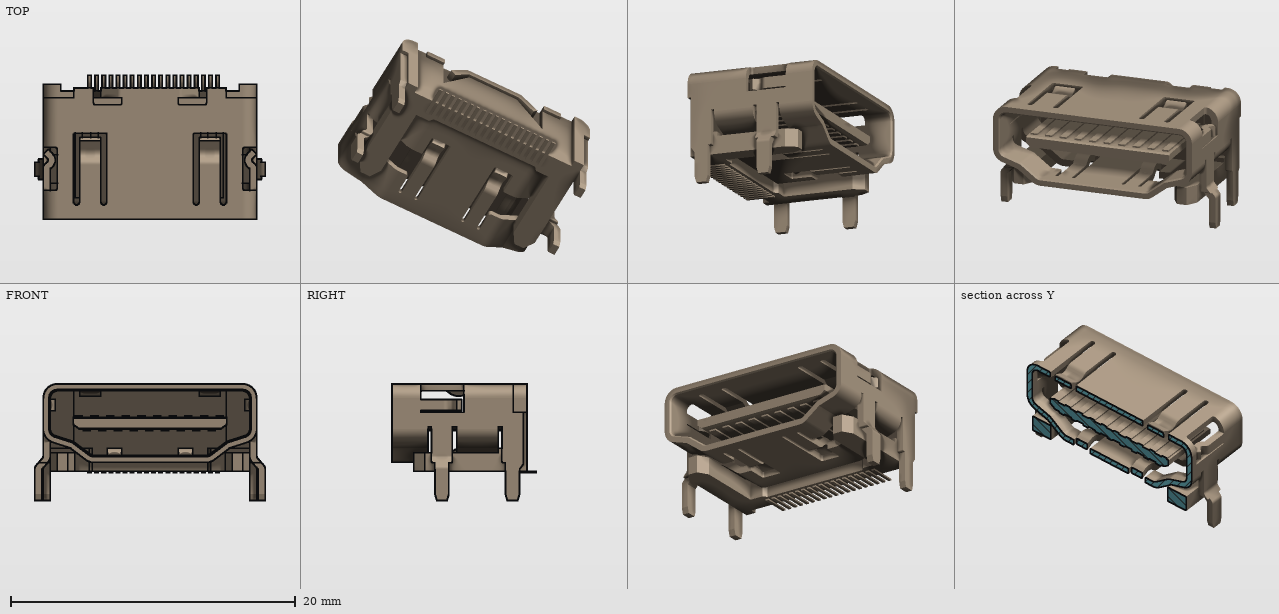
import cadquery as cq
import math


WALL = 0.5
HALF_WIDTH = 7.5
INNER_HALF = HALF_WIDTH - WALL
TOP_Z = 6.15
FLOOR_Z = 0.62
SHELL_LENGTH = 9.23
TUBE_LENGTH = 7.48
CORNER_R = 1.0
SHOULDER_Z = 2.25
KNEE_X, KNEE_Z, KNEE_R = 5.63, 1.65, 0.1
FLOOR_CORNER_X, FLOOR_CORNER_R = 4.26, 0.95
MOUTH_CHAMFER = 0.1

CUT_TOP_Z = 3.13
LEG_CUT_FRONT, LEG_CUT_REAR = 2.54, 4.55
LEG_CUT_X = 3.0
LEG_BOTTOM_Z = -2.06
LEG_TIP_HEIGHT = 0.46
LEG_TIP_INSET = 0.13
LEG_SHOULDER_Z = 0.6
LEG_SHOULDER_R = 0.1
FRONT_LEG_WIDE = (2.78, 4.25)
FRONT_LEG_NARROW = (3.02, 4.01)
REAR_LEG_WIDE = (7.73, 9.23)
REAR_LEG_NARROW = (7.97, 8.97)
REAR_LEG_SLANT_Z = (0.5, 0.15)
JOG_OUT_X = 8.1
JOG_TOP_Z, JOG_BOTTOM_Z = 1.0, 0.3
JOG_RADII = [0.35, 0.8]
CUT_CORNER_R = 0.2

SLOT_FRONT, SLOT_REAR = 1.02, 6.05
FINGER_ROOT = 3.0
WINDOW_CORNER_R = 0.12
TOP_FINGER_X, TOP_FINGER_WIDTH, TOP_SLOT = 4.2, 1.5, 0.41
TOP_BEND_Y, TOP_VALLEY_Y, TOP_TIP_Y, TOP_DEPTH = 4.02, 4.63, 5.53, 0.47
BEND_RADIUS, VALLEY_RADIUS = 0.55, 1.0
TIP_R = 0.1
FLOOR_FINGER_X, FLOOR_FINGER_WIDTH, FLOOR_SLOT = 2.5, 1.0, 0.25
FLOOR_BEND_Y, FLOOR_VALLEY_Y, FLOOR_TIP_Y = 4.12, 4.8, 5.6
FLOOR_DEPTH, FLOOR_TIP_RISE = 0.61, 0.2
SIDE_WINDOW_FRONT, SIDE_WINDOW_REAR = 2.03, 5.06
SIDE_WINDOW_Z, SIDE_WINDOW_X, SIDE_WINDOW_R = 4.16, 6.5, 0.2
SIDE_FINGER_BOTTOM, SIDE_FINGER_TOP = 4.26, 5.05
SIDE_BEND_Y, SIDE_VALLEY_Y, SIDE_TIP_Y, SIDE_DEPTH = 3.78, 4.14, 4.57, 0.43
SIDE_RADII = [0.35, 0.68]

LUG_X, LUG_FRONT, LUG_BOTTOM_Z = 5.34, 8.53, 4.16
NOTCH_INNER, NOTCH_OUTER, NOTCH_FRONT, NOTCH_R = 1.98, 3.97, 8.03, 0.15
TAB_FRONT, TAB_BEND_X, TAB_TIP_X, TAB_ANGLE = 8.55, 2.16, 3.45, 40
TAB_BEND_R = 0.34

BACK_Y = 9.02
POST_X, POST_BACK = 6.27, 9.5
WALL_FRONT, WALL_SIDE_FRONT, WALL_STEP_X = 7.75, 8.0, 5.35
LEDGE_Z = 1.63
RECESS_X, RECESS_FLARE = 4.05, 0.22
FLANGE_Z = 1.31
FLANGE_INNER, FLANGE_FRONT = 5.3, 1.52
FLANGE_CUT_X, FLANGE_CUT_Y = 0.48, 0.77
POCKET_INNER, POCKET_ANGLE = 1.9, 50
TONGUE_HALF, TONGUE_BOTTOM, TONGUE_TOP = 5.4, 2.97, 3.79
TONGUE_FRONT = 1.0
TONGUE_CHAMFER_X, TONGUE_CHAMFER_Z = 0.43, 0.33
LEAD_IN_Y, LEAD_IN_Z = 0.25, 0.06

CONTACT_PITCH, CONTACT_WIDTH, CONTACT_RISE, CONTACT_FRONT = 1.1, 0.5, 0.12, 1.5
TOP_CONTACTS, FIRST_TOP_X = 10, -5.0
PIN_COUNT, PIN_PITCH, PIN_WIDTH, PIN_THICK = 19, 0.5, 0.25, 0.115
FIRST_PIN_X, PIN_FRONT, PIN_BACK = -4.25, 8.0, 10.13


def block(x0, x1, y0, y1, z0, z1):
    """Box between two opposite corners."""
    return cq.Workplane("XY").box(x1 - x0, y1 - y0, z1 - z0, centered=False).translate((x0, y0, z0))


def both_sides(shape):
    """A shape joined with its mirror image across the middle plane."""
    return shape.union(shape.mirror("YZ"))


def bent_strip(plane, points, outside_radii, start, end, tip=None):
    """Sheet strip: one face follows the points, the metal lies on their left; every bend is rounded.

    The strip is extruded along the plane's normal from start to end. With tip given as the index
    of a free end in the points, the two corners of that end are rounded as well.
    """
    angles = [math.atan2(b[1] - a[1], b[0] - a[0]) for a, b in zip(points, points[1:])]
    before = [angles[0]] + angles
    after = angles + [angles[-1]]
    far_side = []
    for (u, v), a, b in zip(points, before, after):
        middle = (a + b) / 2
        miter = WALL / math.cos((b - a) / 2)
        far_side.append((u - miter * math.sin(middle), v + miter * math.cos(middle)))

    base = cq.Workplane(plane).workplane(offset=start)
    strip = base.polyline(points + far_side[::-1]).close().extrude(end - start)

    def round_edge(body, u, v, height, radius):
        spot = base.plane.toWorldCoords((u, v, height))
        return body.edges(cq.selectors.NearestToPointSelector(spot.toTuple())).fillet(radius)

    if tip is not None:
        u = (points[tip][0] + far_side[tip][0]) / 2
        v = (points[tip][1] + far_side[tip][1]) / 2
        for height in (0, end - start):
            strip = round_edge(strip, u, v, height, TIP_R)

    for i, outside_radius in enumerate(outside_radii, start=1):
        turns_left = math.sin(after[i] - before[i]) > 0
        outside, inside = (points[i], far_side[i]) if turns_left else (far_side[i], points[i])
        strip = round_edge(strip, *outside, (end - start) / 2, outside_radius)
        if outside_radius > WALL:
            strip = round_edge(strip, *inside, (end - start) / 2, outside_radius - WALL)
    return strip


def outer_envelope():
    """Solid bounded by the outside of the shell tube, long enough for the rear posts."""
    right = [
        (HALF_WIDTH, TOP_Z),
        (HALF_WIDTH, SHOULDER_Z),
        (KNEE_X, KNEE_Z),
        (FLOOR_CORNER_X, FLOOR_Z),
    ]
    left = [(-x, z) for x, z in reversed(right)]
    solid = cq.Workplane("XZ").polyline(right + left).close().extrude(-POST_BACK)
    radii = [CORNER_R, CORNER_R, KNEE_R, FLOOR_CORNER_R]
    for (x, z), radius in zip(right, radii):
        for side in (-1, 1):
            corner = cq.selectors.NearestToPointSelector((side * x, POST_BACK / 2, z))
            solid = solid.edges(corner).fillet(radius)
    return solid


def inner_envelope(outer):
    """Solid that fills the inside of the shell tube."""
    rim = outer.faces("<Y").wires().val()
    return cq.Workplane("XZ").add(rim).toPending().offset2D(-WALL).extrude(-POST_BACK)


def leg_outline(wide, points_below):
    """Plate seen from the side: wide upper part, then the given outline from front to rear."""
    outline = [(wide[0], CUT_TOP_Z)] + points_below + [(wide[1], CUT_TOP_Z)]
    return cq.Workplane("YZ").polyline(outline).close().extrude(2 * HALF_WIDTH)


def leg_tip(narrow):
    """Tapered end of a leg, listed from its front edge to its rear edge."""
    taper_z = LEG_BOTTOM_Z + LEG_TIP_HEIGHT
    return [
        (narrow[0], taper_z),
        (narrow[0] + LEG_TIP_INSET, LEG_BOTTOM_Z),
        (narrow[1] - LEG_TIP_INSET, LEG_BOTTOM_Z),
        (narrow[1], taper_z),
    ]


def round_shoulder(plate, y):
    """Round the lower corner of the wide part of a leg at the given Y."""
    corner = cq.selectors.NearestToPointSelector((HALF_WIDTH, y, LEG_SHOULDER_Z))
    return plate.edges(corner).fillet(LEG_SHOULDER_R)


def front_leg():
    """Leg that jogs outward below the side wall."""
    below = [(FRONT_LEG_WIDE[0], LEG_SHOULDER_Z), (FRONT_LEG_NARROW[0], LEG_SHOULDER_Z)]
    below += leg_tip(FRONT_LEG_NARROW)
    below += [(FRONT_LEG_NARROW[1], LEG_SHOULDER_Z), (FRONT_LEG_WIDE[1], LEG_SHOULDER_Z)]
    plate = leg_outline(FRONT_LEG_WIDE, below)
    for y in FRONT_LEG_WIDE:
        plate = round_shoulder(plate, y)
    path = [
        (JOG_OUT_X, LEG_BOTTOM_Z),
        (JOG_OUT_X, JOG_BOTTOM_Z),
        (HALF_WIDTH, JOG_TOP_Z),
        (HALF_WIDTH, CUT_TOP_Z),
    ]
    return plate.intersect(bent_strip("XZ", path, JOG_RADII, -FRONT_LEG_WIDE[1], -FRONT_LEG_WIDE[0]))


def rear_leg():
    """Straight leg below the rear of the side wall."""
    below = [(REAR_LEG_WIDE[0], LEG_SHOULDER_Z), (REAR_LEG_NARROW[0], LEG_SHOULDER_Z)]
    below += leg_tip(REAR_LEG_NARROW)
    below += [(REAR_LEG_NARROW[1], REAR_LEG_SLANT_Z[1]), (REAR_LEG_WIDE[1], REAR_LEG_SLANT_Z[0])]
    plate = round_shoulder(leg_outline(REAR_LEG_WIDE, below), REAR_LEG_WIDE[0])
    return plate.intersect(block(INNER_HALF, HALF_WIDTH, 0, SHELL_LENGTH, LEG_BOTTOM_Z, CUT_TOP_Z))


def leg_cut():
    """Opening in the shoulder and floor from which the front leg is bent down."""
    return block(LEG_CUT_X, HALF_WIDTH, LEG_CUT_FRONT, LEG_CUT_REAR, 0, CUT_TOP_Z)


def finger_window(center_x, width, slot, z0):
    """Two slots beside a finger, joined around its free end."""
    half = width / 2 + slot
    window = block(center_x - half, center_x + half, FINGER_ROOT, SLOT_REAR, z0, z0 + WALL)
    window = window.edges("|Z and >Y").fillet(WINDOW_CORNER_R)
    for side in (-1, 1):
        x = center_x + side * (width + slot) / 2
        length = FINGER_ROOT + slot - SLOT_FRONT
        end = cq.Workplane("XY").slot2D(length, slot, 90).extrude(WALL)
        window = window.union(end.translate((x, SLOT_FRONT + length / 2, z0)))
    return window


def top_finger():
    """Finger of the top wall that dips into the mouth and rises again at its free end."""
    path = [
        (TOP_TIP_Y, TOP_Z),
        (TOP_VALLEY_Y, TOP_Z - TOP_DEPTH),
        (TOP_BEND_Y, TOP_Z),
        (FINGER_ROOT, TOP_Z),
    ]
    half = TOP_FINGER_WIDTH / 2
    radii = [VALLEY_RADIUS, BEND_RADIUS]
    return bent_strip("YZ", path, radii, TOP_FINGER_X - half, TOP_FINGER_X + half, tip=0)


def floor_finger():
    """Finger of the floor that arches up into the mouth."""
    path = [
        (FINGER_ROOT, FLOOR_Z),
        (FLOOR_BEND_Y, FLOOR_Z),
        (FLOOR_VALLEY_Y, FLOOR_Z + FLOOR_DEPTH),
        (FLOOR_TIP_Y, FLOOR_Z + FLOOR_TIP_RISE),
    ]
    half = FLOOR_FINGER_WIDTH / 2
    radii = [BEND_RADIUS, VALLEY_RADIUS]
    return bent_strip("YZ", path, radii, FLOOR_FINGER_X - half, FLOOR_FINGER_X + half, tip=-1)


def side_window():
    """Opening in the side wall that also takes the rounded top corner."""
    window = block(
        SIDE_WINDOW_X, HALF_WIDTH, SIDE_WINDOW_FRONT, SIDE_WINDOW_REAR, SIDE_WINDOW_Z, TOP_Z
    )
    return window.edges("|Z and <X").fillet(SIDE_WINDOW_R)


def side_finger():
    """Finger of the side wall that bulges inward near its free end."""
    path = [
        (HALF_WIDTH, SIDE_WINDOW_FRONT),
        (HALF_WIDTH, SIDE_BEND_Y),
        (HALF_WIDTH - SIDE_DEPTH, SIDE_VALLEY_Y),
        (HALF_WIDTH, SIDE_TIP_Y),
    ]
    return bent_strip("XY", path, SIDE_RADII, SIDE_FINGER_BOTTOM, SIDE_FINGER_TOP, tip=-1)


def rear_notch():
    """Notch in the rear edge of the top wall, open to the rear."""
    notch = block(NOTCH_INNER, NOTCH_OUTER, NOTCH_FRONT, SHELL_LENGTH, TOP_Z - WALL, TOP_Z)
    return notch.edges("|Z and <Y").fillet(NOTCH_R)


def rear_tab():
    """Tab bent down sideways into the rear notch, above the sloping pocket of the housing."""
    drop = (TAB_TIP_X - TAB_BEND_X) * math.tan(math.radians(TAB_ANGLE))
    path = [(TAB_TIP_X, TOP_Z - drop), (TAB_BEND_X, TOP_Z), (NOTCH_INNER - WALL, TOP_Z)]
    return bent_strip("XZ", path, [TAB_BEND_R], -SHELL_LENGTH, -TAB_FRONT)


def lug_zone():
    """Rear top corner region that the housing fills instead of the shell."""
    return block(LUG_X, HALF_WIDTH, LUG_FRONT, POST_BACK, LUG_BOTTOM_Z, TOP_Z)


def make_shell(outer, inner):
    """Tube with all its openings cut first, then the bent legs, fingers and tabs joined on."""
    shell = outer.cut(inner)
    mouth_rim = shell.faces("<Y").wires(cq.selectors.LengthNthSelector(0))
    shell = mouth_rim.chamfer(MOUTH_CHAMFER)
    shell = shell.cut(block(-HALF_WIDTH, HALF_WIDTH, SHELL_LENGTH, POST_BACK, 0, TOP_Z))
    shell = shell.cut(block(-HALF_WIDTH, HALF_WIDTH, TUBE_LENGTH, SHELL_LENGTH, 0, CUT_TOP_Z))

    top_window = finger_window(TOP_FINGER_X, TOP_FINGER_WIDTH, TOP_SLOT, TOP_Z - WALL)
    floor_window = finger_window(FLOOR_FINGER_X, FLOOR_FINGER_WIDTH, FLOOR_SLOT, FLOOR_Z)
    for opening in (leg_cut(), top_window, floor_window, side_window(), rear_notch(), lug_zone()):
        shell = shell.cut(both_sides(opening))
    slot_edge_x = FLOOR_FINGER_X + FLOOR_FINGER_WIDTH / 2 + FLOOR_SLOT
    for x in (-slot_edge_x, slot_edge_x):
        corner = cq.selectors.NearestToPointSelector((x, LEG_CUT_FRONT, FLOOR_Z + WALL / 2))
        shell = shell.edges(corner).fillet(CUT_CORNER_R)
    for piece in (front_leg(), rear_leg(), top_finger(), floor_finger(), side_finger(), rear_tab()):
        shell = shell.union(both_sides(piece))
    return shell


def rear_wall(inner):
    """Wall that closes the tube, with its sides set back and its lower ledge reaching the tube end."""
    wall = block(-WALL_STEP_X, WALL_STEP_X, WALL_FRONT, BACK_Y, 0, TOP_Z - WALL)
    upper = block(-INNER_HALF, INNER_HALF, WALL_SIDE_FRONT, BACK_Y, CUT_TOP_Z, TOP_Z).intersect(inner)
    lower = block(-INNER_HALF, INNER_HALF, WALL_SIDE_FRONT, BACK_Y, 0, CUT_TOP_Z)
    return wall.union(upper).union(lower)


def ledge():
    """Low step beside the central recess; its inner end is bevelled."""
    outline = [
        (RECESS_X, WALL_SIDE_FRONT),
        (RECESS_X, WALL_FRONT),
        (RECESS_X + RECESS_FLARE, TUBE_LENGTH),
        (INNER_HALF, TUBE_LENGTH),
        (INNER_HALF, WALL_SIDE_FRONT),
    ]
    return cq.Workplane("XY").polyline(outline).close().extrude(LEDGE_Z)


def flange():
    """Base rail beside the shell floor, with its front corners cut off."""
    rail = block(FLANGE_INNER, INNER_HALF, FLANGE_FRONT, WALL_SIDE_FRONT, 0, FLANGE_Z)
    return rail.faces("<Y").edges("|Z").chamfer(FLANGE_CUT_Y, FLANGE_CUT_X)


def post_and_lug(outer, inner):
    """Rear post under the shell corner and the lug that completes the shell's outside."""
    post = block(POST_X, INNER_HALF, BACK_Y, POST_BACK, 0, CUT_TOP_Z)
    upper_post = block(POST_X, INNER_HALF, BACK_Y, POST_BACK, CUT_TOP_Z, TOP_Z).intersect(inner)
    beyond_lug = block(0, POST_X, BACK_Y, POST_BACK, 0, TOP_Z)
    lug = lug_zone().cut(beyond_lug).intersect(outer)
    return post.union(upper_post).union(lug)


def notch_filler():
    """Block that fills the front of the shell's rear notch, flush with the shell's top."""
    behind = block(NOTCH_INNER, NOTCH_OUTER, TAB_FRONT, SHELL_LENGTH, 0, TOP_Z)
    return rear_notch().cut(behind)


def tab_pocket():
    """Sloping recess in the rear wall that clears the bent tab."""
    top = TOP_Z - WALL
    drop = (NOTCH_OUTER - POCKET_INNER) * math.tan(math.radians(POCKET_ANGLE))
    outline = [(POCKET_INNER, top), (NOTCH_OUTER, top), (NOTCH_OUTER, top - drop)]
    pocket = cq.Workplane("XZ").polyline(outline).close().extrude(TAB_FRONT - BACK_Y)
    return pocket.translate((0, TAB_FRONT, 0))


def tongue():
    """Blade in the mouth with bevelled lower edges and a lead-in at the front."""
    body = block(-TONGUE_HALF, TONGUE_HALF, TONGUE_FRONT, WALL_FRONT, TONGUE_BOTTOM, TONGUE_TOP)
    body = body.faces("<Z").edges("|Y").chamfer(TONGUE_CHAMFER_Z, TONGUE_CHAMFER_X)
    return body.faces("<Y").edges(">Z or <Z").chamfer(LEAD_IN_Z, LEAD_IN_Y)


def contacts():
    """Two staggered rows of contact strips; the lower row has one fewer."""
    bottom_first = FIRST_TOP_X + CONTACT_PITCH / 2
    rows = [
        (FIRST_TOP_X, TOP_CONTACTS, TONGUE_TOP),
        (bottom_first, TOP_CONTACTS - 1, TONGUE_BOTTOM - CONTACT_RISE),
    ]
    strips = []
    for first, count, z in rows:
        for i in range(count):
            x = first + i * CONTACT_PITCH - CONTACT_WIDTH / 2
            strips.append(block(x, x + CONTACT_WIDTH, CONTACT_FRONT, WALL_FRONT, z, z + CONTACT_RISE))
    return strips


def solder_pins():
    """Flat pin tails along the underside, reaching out behind the housing."""
    pins = []
    for i in range(PIN_COUNT):
        x = FIRST_PIN_X + i * PIN_PITCH - PIN_WIDTH / 2
        pins.append(block(x, x + PIN_WIDTH, PIN_FRONT, PIN_BACK, -PIN_THICK, 0))
    return pins


def make_housing(outer, inner):
    """Insulating body with its tongue, contacts and solder pins."""
    housing = rear_wall(inner)
    for piece in (ledge(), flange(), post_and_lug(outer, inner), notch_filler()):
        housing = housing.union(both_sides(piece))
    housing = housing.cut(both_sides(tab_pocket()))
    for piece in [tongue()] + contacts() + solder_pins():
        housing = housing.union(piece)
    return housing


outer_tube = outer_envelope()
inner_tube = inner_envelope(outer_tube)
shell = make_shell(outer_tube, inner_tube)
housing = make_housing(outer_tube, inner_tube)

result = cq.Compound.makeCompound([shell.solids().val(), housing.solids().val()])